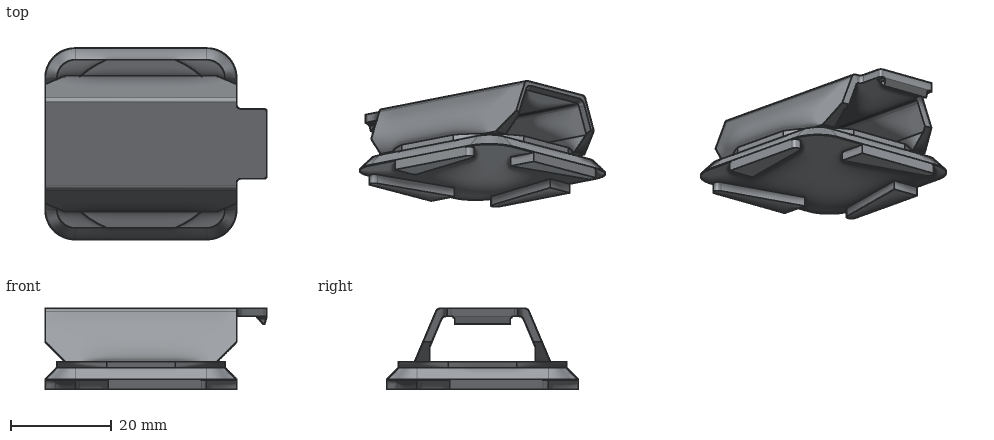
import cadquery as cq
import math

base_width = 38.0
half_base = base_width / 2
base_corner_radius = 12.0 / 2
foot_height = 1.8
base_edge_top = 2.0
base_top = 4.3
base_bevel = base_top - base_edge_top
disc_width = base_width - 2 * base_bevel
disc_radius = 18.0
disc_top = 5.5

foot_root_offset = 6.5
foot_reach = half_base - base_corner_radius
foot_tip_radius = 1.0

total_height = 16.1
roof_half_width = 8.98
handle_half_width = 13.45
handle_inner_half = 10.45
wall = 1.65
handle_fillet = 1.0
end_cut = 3.9
mouth_chamfer = 0.8

total_length = 44
tab_length = total_length - base_width
tab_end = half_base + tab_length
tab_half_width = 6.95
tab_root_fillet = 0.8
tab_tip_fillet = 0.6
tooth_start = tab_end - 2.1
tooth_tip_left = tab_end - 0.75
tooth_tip_right = tab_end - 0.5
tooth_height = 1.55
tooth_half_width = 5.55
tooth_flare = 0.45
roof_underside = total_height - wall

overlap = 0.45


def make_base():
    plate = (
        cq.Workplane("XY")
        .workplane(offset=foot_height)
        .rect(base_width, base_width)
        .extrude(base_top - foot_height)
        .edges("|Z")
        .fillet(base_corner_radius)
        .faces(">Z")
        .chamfer(base_bevel)
    )
    disc_height = disc_top - base_top
    disc_plane = cq.Workplane("XY").workplane(offset=base_top)
    disc = disc_plane.circle(disc_radius).extrude(disc_height)
    square = disc_plane.rect(disc_width, disc_width).extrude(disc_height)
    return plate.union(disc.intersect(square))


def make_foot():
    """One wedge along the -Y edge, square at its root and round at its tip."""
    tip_x = foot_reach - foot_tip_radius
    tip_y = -half_base + foot_tip_radius
    run = tip_x + foot_root_offset
    drop = -foot_reach - tip_y
    tangent = math.asin(foot_tip_radius / math.hypot(run, drop))
    normal = math.pi / 2 - (math.atan2(drop, run) - tangent)
    tangent_point = (
        tip_x + foot_tip_radius * math.cos(normal),
        tip_y + foot_tip_radius * math.sin(normal),
    )
    return (
        cq.Workplane("XY")
        .moveTo(-foot_root_offset, -half_base)
        .lineTo(tip_x, -half_base)
        .threePointArc((foot_reach, tip_y), tangent_point)
        .lineTo(-foot_root_offset, -foot_reach)
        .close()
        .extrude(foot_height)
    )


def make_handle():
    """Trapezoidal tunnel along X with a widened mouth at its -X end."""
    height = total_height - disc_top
    slope = (handle_half_width - roof_half_width) / height
    outside = (
        cq.Workplane("YZ")
        .workplane(offset=-half_base)
        .polyline([
            (-handle_half_width, disc_top),
            (handle_half_width, disc_top),
            (roof_half_width, total_height),
            (-roof_half_width, total_height),
        ])
        .close()
        .extrude(base_width)
        .edges("|X and >Z")
        .fillet(handle_fillet)
    )

    wall_across = wall * math.hypot(1, slope)
    ceiling_half = roof_half_width + slope * wall - wall_across
    bend_z = roof_underside - (handle_inner_half - ceiling_half) / slope
    tunnel = (
        cq.Workplane("YZ")
        .workplane(offset=-half_base)
        .polyline([
            (-handle_inner_half, disc_top),
            (handle_inner_half, disc_top),
            (handle_inner_half, bend_z),
            (ceiling_half, roof_underside),
            (-ceiling_half, roof_underside),
            (-handle_inner_half, bend_z),
        ])
        .close()
        .extrude(base_width)
        .edges("|X and >Z")
        .fillet(handle_fillet)
    )
    handle = outside.cut(tunnel)

    mouth_foot_half = ceiling_half + slope * (roof_underside - disc_top)
    mouth_top = roof_underside + mouth_chamfer
    mouth_across = mouth_chamfer * math.hypot(1, slope)
    widening = mouth_across - mouth_chamfer * slope
    mouth = (
        cq.Workplane("YZ")
        .workplane(offset=-half_base)
        .polyline([
            (-mouth_foot_half - mouth_across, disc_top),
            (mouth_foot_half + mouth_across, disc_top),
            (ceiling_half + widening, mouth_top),
            (-ceiling_half - widening, mouth_top),
        ])
        .close()
        .extrude(mouth_chamfer)
        .edges("|X and >Z")
        .fillet(handle_fillet + mouth_chamfer)
        .faces("<X")
        .wires()
        .toPending()
        .workplane(invert=True)
        .extrude(mouth_chamfer, taper=45, combine=False)
    )
    handle = handle.cut(mouth)

    for side in (-1, 1):
        corner_cut = (
            cq.Workplane("XZ")
            .polyline([
                (side * half_base, disc_top),
                (side * (half_base - end_cut), disc_top),
                (side * half_base, disc_top + end_cut),
            ])
            .close()
            .extrude(handle_half_width, both=True)
        )
        handle = handle.cut(corner_cut)
    return handle


def make_tab():
    tab_plane = cq.Workplane("XY").workplane(offset=roof_underside)
    tab = (
        tab_plane
        .center(half_base + (tab_length - overlap) / 2, 0)
        .rect(tab_length + overlap, 2 * tab_half_width)
        .extrude(wall)
        .edges("|Z and >X")
        .fillet(tab_tip_fillet)
    )
    for side in (-1, 1):
        edge_y = side * tab_half_width
        outer_y = edge_y + side * tab_root_fillet
        root_x = half_base + tab_root_fillet
        gusset = (
            tab_plane
            .moveTo(half_base, edge_y)
            .lineTo(root_x, edge_y)
            .radiusArc((half_base, outer_y), side * tab_root_fillet)
            .close()
            .extrude(wall)
        )
        tab = tab.union(gusset)
    return tab


def make_tooth():
    """Pointed ridge under the tab, flared at both ends where it meets the tab."""
    root_half_width = tooth_half_width + tooth_flare
    tip_z = roof_underside - tooth_height
    ridge = (
        cq.Workplane("XZ")
        .polyline([
            (tooth_start, roof_underside),
            (tooth_tip_left, tip_z),
            (tooth_tip_right, tip_z),
            (tab_end, roof_underside),
        ])
        .close()
        .extrude(root_half_width, both=True)
    )
    flared_outline = (
        cq.Workplane("YZ")
        .workplane(offset=half_base)
        .polyline([
            (-root_half_width, roof_underside),
            (root_half_width, roof_underside),
            (tooth_half_width, roof_underside - tooth_flare),
            (tooth_half_width, tip_z),
            (-tooth_half_width, tip_z),
            (-tooth_half_width, roof_underside - tooth_flare),
        ])
        .close()
        .extrude(tab_length)
    )
    return ridge.intersect(flared_outline)


result = make_base()
foot = make_foot()
for angle in (0, 90, 180, 270):
    result = result.union(foot.rotate((0, 0, 0), (0, 0, 1), angle))
result = result.union(make_handle()).union(make_tab()).union(make_tooth())